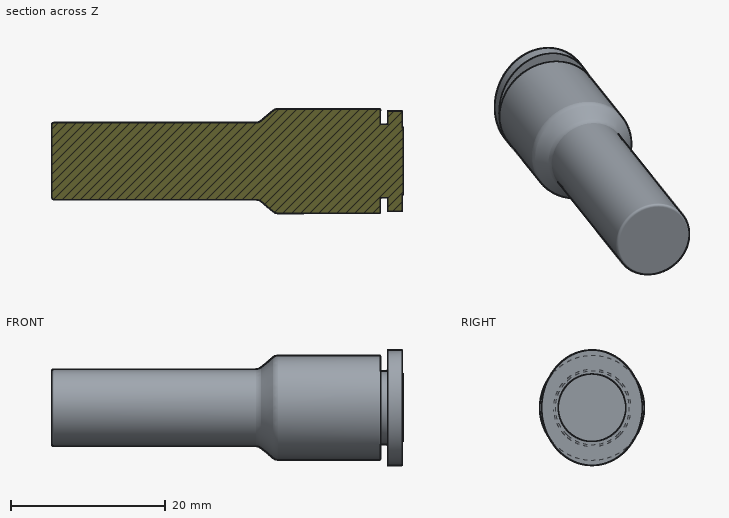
import cadquery as cq
import math

total_length = 45.6
body_end = 42.65
flange_start = 43.55
tip_length = 0.15
flange_end = total_length - tip_length

stem_radius = 5.0
body_radius = 6.8
neck_radius = 4.8
tip_radius = 4.4

shoulder_start = 26.85
shoulder_angle = 40.0
shoulder_length = (body_radius - stem_radius) / math.tan(math.radians(shoulder_angle))
shoulder_end = shoulder_start + shoulder_length
shoulder_blend_radius = 1.0

flange_width = 13.05
flange_height = 15.0

stem_end_fillet = 0.3
body_end_fillet = 0.2
flange_fillet = 0.15
neck_root_fillet = 0.1

edge_tolerance = 0.005
selection_reach = body_radius + edge_tolerance


def disc(radius, start, end):
    """Solid cylinder along X between two stations."""
    return cq.Workplane("YZ", origin=(start, 0, 0)).circle(radius).extrude(end - start)


def circle_edges_at(station):
    """Selector for the circular edges lying at one X station."""
    return cq.selectors.BoxSelector(
        (station - edge_tolerance, -selection_reach, -selection_reach),
        (station + edge_tolerance, selection_reach, selection_reach),
        boundingbox=True,
    )


def make_stem_and_body():
    """Plug stem that widens through a blended cone into the body."""
    profile = [
        (0, 0),
        (0, stem_radius),
        (shoulder_start, stem_radius),
        (shoulder_end, body_radius),
        (body_end, body_radius),
        (body_end, 0),
    ]
    solid = cq.Workplane("XY").polyline(profile).close().revolve(360, (0, 0, 0), (1, 0, 0))
    for station, radius in (
        (0, stem_end_fillet),
        (shoulder_start, shoulder_blend_radius),
        (shoulder_end, shoulder_blend_radius),
        (body_end, body_end_fillet),
    ):
        solid = solid.edges(circle_edges_at(station)).fillet(radius)
    return solid


def make_flange():
    """Oval flange, taller along Z than it is wide along Y, rounded on its outer face."""
    flange = (
        cq.Workplane("YZ", origin=(flange_start, 0, 0))
        .ellipse(flange_width / 2, flange_height / 2)
        .extrude(flange_end - flange_start)
    )
    return flange.faces(">X").edges().fillet(flange_fillet)


neck = disc(neck_radius, body_end, flange_start)
tip = disc(tip_radius, flange_end, total_length)

result = make_stem_and_body().union(neck).union(make_flange()).union(tip)

result = result.edges(circle_edges_at(flange_start)).fillet(neck_root_fillet)